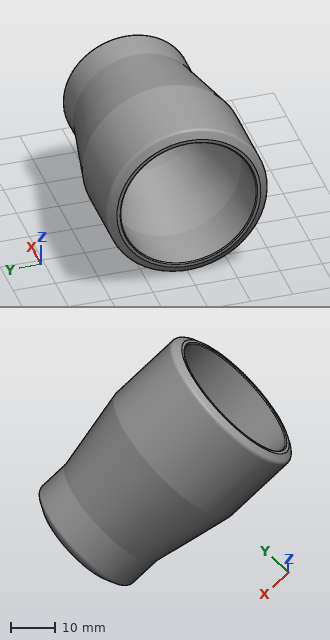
import cadquery as cq
import math

TOLERANCE = 0.0005

LENGTH = 50.0
LARGE_LENGTH = 20.0
SMALL_LENGTH = 10.0
LARGE_BORE_LENGTH = 11.75
SMALL_BORE_LENGTH = 18.25

LARGE_RADIUS = 38.0 / 2
SMALL_RADIUS = 30.0 / 2
LARGE_BORE_RADIUS = 32.0 / 2
SMALL_BORE_RADIUS = 22.0 / 2

LAND = 1.0
BEVEL_ANGLE = math.radians(30)
BEVEL_ROUND = 1.0
SHOULDER_ROUND = 1.0
BORE_CHAMFER = 0.25


def bevel_sizes(outer_radius, bore_radius):
    """Return bevel depth, radius where the rounding starts, and total depth."""
    round_start_radius = outer_radius - BEVEL_ROUND * (1 - math.sin(BEVEL_ANGLE))
    depth = (round_start_radius - bore_radius - LAND) * math.tan(BEVEL_ANGLE)
    total_depth = depth + BEVEL_ROUND * math.cos(BEVEL_ANGLE)
    return depth, round_start_radius, total_depth


def round_middle(outer_radius, total_depth):
    """Return the rounding's midpoint as depth from the end face and radius."""
    middle_angle = (math.pi / 2 + BEVEL_ANGLE) / 2
    depth = total_depth - BEVEL_ROUND * math.cos(middle_angle)
    radius = outer_radius - BEVEL_ROUND * (1 - math.sin(middle_angle))
    return depth, radius


def half_section():
    """Closed wall section in the XZ plane, with Z as the radius."""
    large_depth, large_start, large_total = bevel_sizes(LARGE_RADIUS, LARGE_BORE_RADIUS)
    small_depth, small_start, small_total = bevel_sizes(SMALL_RADIUS, SMALL_BORE_RADIUS)
    large_middle = round_middle(LARGE_RADIUS, large_total)
    small_middle_depth, small_middle_radius = round_middle(SMALL_RADIUS, small_total)
    small_start_x = LENGTH - SMALL_LENGTH

    return (
        cq.Workplane("XZ")
        .moveTo(0, LARGE_BORE_RADIUS + LAND)
        .lineTo(large_depth, large_start)
        .threePointArc(large_middle, (large_total, LARGE_RADIUS))
        .lineTo(LARGE_LENGTH, LARGE_RADIUS)
        .lineTo(small_start_x, SMALL_RADIUS)
        .lineTo(LENGTH - small_total, SMALL_RADIUS)
        .threePointArc(
            (LENGTH - small_middle_depth, small_middle_radius),
            (LENGTH - small_depth, small_start),
        )
        .lineTo(LENGTH, SMALL_BORE_RADIUS + LAND)
        .lineTo(LENGTH, SMALL_BORE_RADIUS)
        .lineTo(LENGTH - SMALL_BORE_LENGTH, SMALL_BORE_RADIUS)
        .lineTo(LARGE_BORE_LENGTH, LARGE_BORE_RADIUS)
        .lineTo(BORE_CHAMFER, LARGE_BORE_RADIUS)
        .lineTo(0, LARGE_BORE_RADIUS + BORE_CHAMFER)
        .close()
    )


def shoulder_edges(body):
    """Select the two circles where the outer cone meets the cylinders."""
    edges = body.edges("%CIRCLE").vals()
    shoulders = ((LARGE_LENGTH, LARGE_RADIUS), (LENGTH - SMALL_LENGTH, SMALL_RADIUS))
    return body.newObject([
        edge
        for edge in edges
        for x, radius in shoulders
        if abs(edge.Center().x - x) < TOLERANCE and abs(edge.radius() - radius) < TOLERANCE
    ])


body = half_section().revolve(360, (0, 0, 0), (1, 0, 0))
result = shoulder_edges(body).fillet(SHOULDER_ROUND)